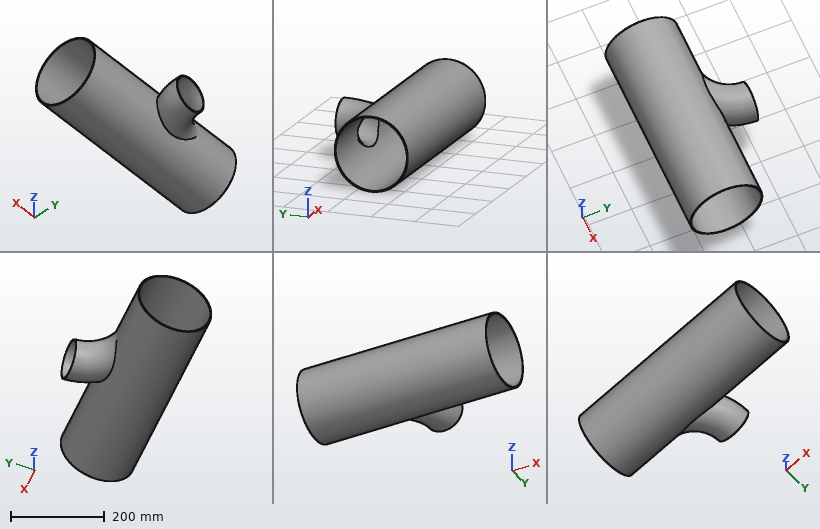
import cadquery as cq

run_length = 458.0
run_outer_diameter = 168.0
run_inner_diameter = 162.0
wall = (run_outer_diameter - run_inner_diameter) / 2

branch_outer_diameter = 89.0
branch_inner_diameter = branch_outer_diameter - 2 * wall
bend_radius = 114.5
bend_angle = 90.0
overall_width = 237.5
mouth_y = overall_width - run_outer_diameter / 2


def run_cylinder(diameter):
    """Solid cylinder along the full length of the run."""
    start = cq.Workplane("YZ").workplane(offset=-run_length / 2)
    return start.circle(diameter / 2).extrude(run_length)


def elbow(diameter):
    """Solid bend from the branch mouth (facing +Y) down into the run."""
    mouth = cq.Workplane("XZ", origin=(0, mouth_y, 0)).circle(diameter / 2)
    return mouth.revolve(bend_angle, (-bend_radius, 0, 0), (-bend_radius, -1, 0))


body = run_cylinder(run_outer_diameter).union(elbow(branch_outer_diameter))
result = body.cut(run_cylinder(run_inner_diameter)).cut(elbow(branch_inner_diameter))